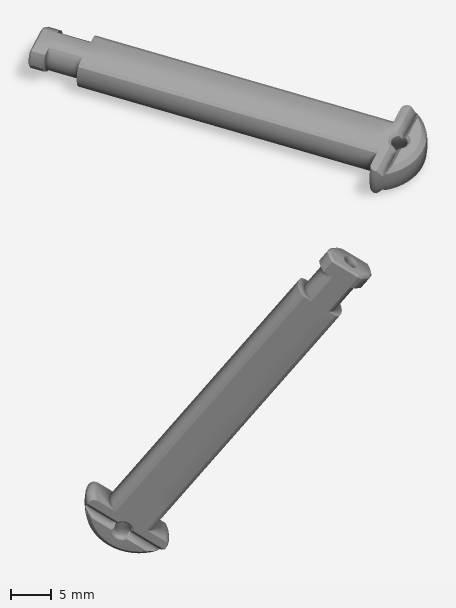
import cadquery as cq
import math

length = 50.6
thickness = 4.0
half_thick = thickness / 2

shaft_diameter = 6.65
shaft_radius = shaft_diameter / 2
bevel_drop = 0.23
bevel_width = 0.45

tip_length = 2.0
neck_end = 6.45
neck_radius = 2.4
tip_chamfer = 0.25
dimple_diameter = 2.0
dimple_depth = dimple_diameter / 2

corner_outer_z = -0.2
corner_lower = (3.0, 0.65)
corner_upper = (1.9, 1.7)

head_start = 45.6
dome_radius = 6.7
dome_center = length - dome_radius
back_edge_radius = 0.8
rim_radius = 5.9
rim_chamfer_depth = 0.55

groove_x = 47.4
groove_half_width = 0.7
groove_depth = 0.8
hole_diameter = 2.0
countersink_diameter = 2.75


def bar(radius, start, end):
    """Round bar along X with flats on its top and bottom."""
    rod = cq.Workplane("YZ").workplane(offset=start).circle(radius).extrude(end - start)
    slab = cq.Workplane("XY").box(length * 2, radius * 2, thickness)
    return rod.intersect(slab)


def make_shaft():
    """Main bar with a bevel along each of its four long edges."""
    side_z = half_thick - bevel_drop
    side_y = math.sqrt(shaft_radius**2 - side_z**2)
    top_y = side_y - bevel_width
    return (
        cq.Workplane("YZ")
        .workplane(offset=neck_end)
        .moveTo(-top_y, half_thick)
        .lineTo(top_y, half_thick)
        .lineTo(side_y, side_z)
        .threePointArc((shaft_radius, 0), (side_y, -side_z))
        .lineTo(top_y, -half_thick)
        .lineTo(-top_y, -half_thick)
        .lineTo(-side_y, -side_z)
        .threePointArc((-shaft_radius, 0), (-side_y, side_z))
        .close()
        .extrude(groove_x - groove_half_width - neck_end)
    )


def make_tip():
    """Bayonet tip: opposite corners cut away half a turn apart, the end chamfered and dimpled."""
    neck_flat_y = math.sqrt(neck_radius**2 - half_thick**2)
    outer_y = math.sqrt(shaft_radius**2 - corner_outer_z**2)
    beyond = 2 * shaft_radius
    corner = (
        cq.Workplane("YZ")
        .polyline(
            [
                (outer_y, corner_outer_z),
                corner_lower,
                corner_upper,
                (neck_flat_y, half_thick),
                (neck_flat_y, beyond),
                (beyond, beyond),
                (beyond, corner_outer_z),
            ]
        )
        .close()
        .extrude(tip_length)
    )
    tip = bar(shaft_radius, 0, tip_length)
    for angle in (0, 180):
        tip = tip.cut(corner.rotate((0, 0, 0), (1, 0, 0), angle))
    tip = tip.faces("<X").chamfer(tip_chamfer)
    dimple = cq.Solid.makeCone(
        dimple_diameter / 2, 0, dimple_depth, cq.Vector(0, 0, 0), cq.Vector(1, 0, 0)
    )
    return tip.cut(cq.Workplane(obj=dimple))


def make_dome():
    """Slab cut from the middle of a ball, flat at the back, the ends of that flat rounded."""
    flat_radius = math.sqrt(dome_radius**2 - half_thick**2)
    disc = (
        cq.Workplane("XZ")
        .moveTo(0, -half_thick)
        .lineTo(flat_radius, -half_thick)
        .threePointArc((dome_radius, 0), (flat_radius, half_thick))
        .lineTo(0, half_thick)
        .close()
        .revolve(360, (0, 0, 0), (0, 1, 0))
        .translate((dome_center, 0, 0))
    )
    behind = cq.Workplane("XY").box(length, length, length).translate((head_start - length / 2, 0, 0))
    return disc.cut(behind).faces("<X").edges("<Y or >Y").fillet(back_edge_radius)


def make_rim_cut():
    """Ring that bevels the top rim of the dome, in front of the groove only."""
    beyond = 2 * dome_radius
    slope_end = rim_radius + rim_chamfer_depth
    ring = (
        cq.Workplane("XZ")
        .polyline(
            [
                (rim_radius, half_thick),
                (slope_end, half_thick - rim_chamfer_depth),
                (beyond, half_thick - rim_chamfer_depth),
                (beyond, half_thick),
            ]
        )
        .close()
        .revolve(360, (0, 0, 0), (0, 1, 0))
        .translate((dome_center, 0, 0))
    )
    front = cq.Workplane("XY").box(beyond, 2 * beyond, thickness)
    return ring.intersect(front.translate((groove_x + beyond / 2, 0, 0)))


def make_groove():
    """V groove across the top of the head."""
    return (
        cq.Workplane("XZ")
        .polyline(
            [
                (groove_x - groove_half_width, half_thick),
                (groove_x, half_thick - groove_depth),
                (groove_x + groove_half_width, half_thick),
            ]
        )
        .close()
        .extrude(dome_radius, both=True)
    )


def make_countersink():
    """Cone that opens the top of the cross hole."""
    radius = countersink_diameter / 2
    cone = cq.Solid.makeCone(radius, 0, radius, cq.Vector(groove_x, 0, half_thick), cq.Vector(0, 0, -1))
    return cq.Workplane(obj=cone)


def make_hole():
    """Cross hole through the head, centred on the groove."""
    return (
        cq.Workplane("XY")
        .center(groove_x, 0)
        .circle(hole_diameter / 2)
        .extrude(half_thick, both=True)
    )


def make_head():
    """Dome with the same rim bevel and groove above and below."""
    head = make_dome()
    for cutter in (make_rim_cut(), make_groove()):
        head = head.cut(cutter).cut(cutter.mirror("XY"))
    return head


neck = bar(neck_radius, tip_length, neck_end)
body = make_tip().union(neck).union(make_shaft()).union(make_head())
countersink = make_countersink()
result = body.cut(make_hole()).cut(countersink).cut(countersink.mirror("XY"))